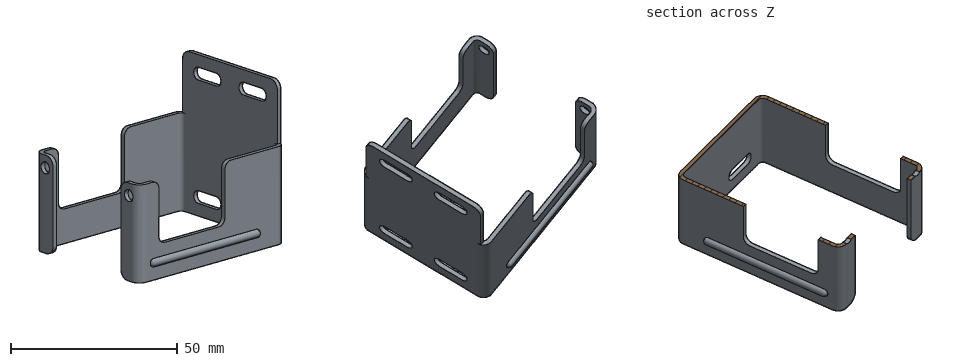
import cadquery as cq

depth = 60.0
body_width = 45.95
wall_height = 31.0
sheet = 1.5
outer_bend = 3.0
inner_bend = outer_bend - sheet
back_y = depth / 2
front_y = -depth / 2
side_x = body_width / 2

plate_width = 42.0
plate_height = 51.0
plate_corner = 3.0
slot_length = 12.0
slot_width = 4.0
slot_x = 10.0
slot_edge_distance = 6.0

flange_edge_x = 15.0
flange_corner = 3.0
hole_diameter = 3.7
hole_x = flange_edge_x + 3.5
hole_z = wall_height - 4.0

cutout_back_y = back_y - 24.8
cutout_width = 27.0
cutout_front_y = cutout_back_y - cutout_width
cutout_floor = 11.0
cutout_radius = 2.5

bead_radius = 1.3
bead_length = 44.65
bead_y = -3.0
bead_z = 5.6


def box(x_size, y_size, z_size, center_x, center_y, bottom_z):
    """Box centered in plan, standing on bottom_z."""
    block = cq.Workplane("XY").box(x_size, y_size, z_size, centered=(True, True, False))
    return block.translate((center_x, center_y, bottom_z))


def folded_walls():
    """Rounded rectangular tube with an opening between the front flanges."""
    inner_width = body_width - 2 * sheet
    inner_depth = depth - 2 * sheet
    outside = box(body_width, depth, wall_height, 0, 0, 0).edges("|Z").fillet(outer_bend)
    inside = box(inner_width, inner_depth, wall_height, 0, 0, 0).edges("|Z").fillet(inner_bend)
    opening = box(2 * flange_edge_x, 2 * sheet, wall_height, 0, front_y, 0)
    walls = outside.cut(inside).cut(opening)
    flange_edges = cq.selectors.BoxSelector(
        (-flange_edge_x - sheet, front_y - sheet, -sheet),
        (flange_edge_x + sheet, front_y + 2 * sheet, wall_height + sheet),
    )
    return walls.edges(flange_edges).edges("|Y").fillet(flange_corner)


def back_extension():
    """Narrower, round-cornered part of the back plate above the side walls."""
    height = plate_height - wall_height
    extension = box(plate_width, sheet, height, 0, back_y - sheet / 2, wall_height)
    return extension.edges("|Y and >Z").fillet(plate_corner)


def mounting_slots():
    slot_heights = (slot_edge_distance, plate_height - slot_edge_distance)
    centers = [(x, z) for x in (-slot_x, slot_x) for z in slot_heights]
    slots = cq.Workplane("XZ", origin=(0, back_y + sheet, 0)).pushPoints(centers)
    return slots.slot2D(slot_length, slot_width).extrude(3 * sheet)


def flange_holes():
    """Straight bores through the front flanges, grazing the bends."""
    holes = cq.Workplane("XZ", origin=(0, front_y + 2 * sheet, 0))
    holes = holes.pushPoints([(-hole_x, hole_z), (hole_x, hole_z)])
    return holes.circle(hole_diameter / 2).extrude(3 * sheet)


def side_cutout():
    """U-shaped notch through both walls, rounded at its floor and its mouth."""
    r = cutout_radius
    profile = (
        cq.Workplane("YZ", origin=(-body_width, 0, 0))
        .moveTo(cutout_front_y - r, wall_height)
        .radiusArc((cutout_front_y, wall_height - r), r)
        .lineTo(cutout_front_y, cutout_floor + r)
        .radiusArc((cutout_front_y + r, cutout_floor), -r)
        .lineTo(cutout_back_y - r, cutout_floor)
        .radiusArc((cutout_back_y, cutout_floor + r), -r)
        .lineTo(cutout_back_y, wall_height - r)
        .radiusArc((cutout_back_y + r, wall_height), r)
        .close()
    )
    return profile.extrude(2 * body_width)


def side_bead(side):
    """Capsule half sunk in the outer face of a wall."""
    straight = bead_length - 2 * bead_radius
    bead = cq.Workplane("XZ").circle(bead_radius).extrude(straight / 2, both=True)
    for end in (-1, 1):
        cap = cq.Workplane("XY").sphere(bead_radius)
        bead = bead.union(cap.translate((0, end * straight / 2, 0)))
    return bead.translate((side * side_x, bead_y, bead_z))


result = folded_walls().union(back_extension())
result = result.cut(mounting_slots()).cut(flange_holes()).cut(side_cutout())
for side in (-1, 1):
    result = result.union(side_bead(side))